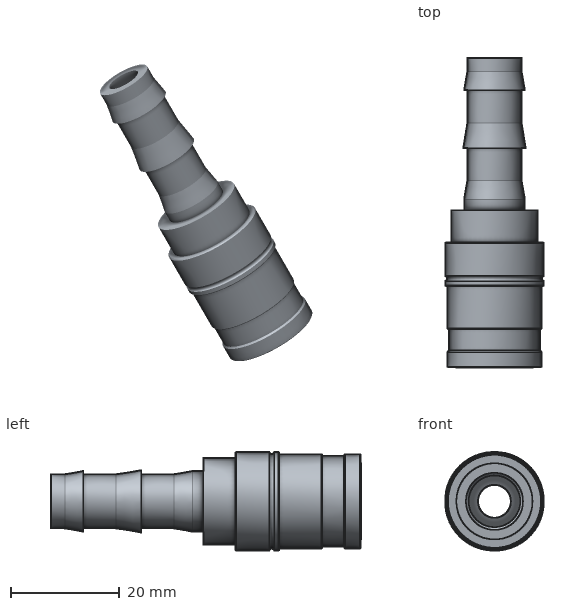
import cadquery as cq

length = 57.0
edge_break = 0.2

end_pad_radius = 7.0
lip_start = 0.08
lip_chamfer = 0.15
lip_radius = 8.7
lip_end = 3.2
lip_step = 0.3
seat_radius = lip_radius - lip_step
sleeve_start = 7.1
sleeve_radius = lip_radius
collar_radius = 9.1
collar_start = 15.0
collar_end = 23.1
shoulder_radius = 8.0
shoulder_end = 29.0

groove_start = 15.95
groove_end = 16.9
groove_middle = (groove_start + groove_end) / 2
groove_depth = 0.37

tail_radius = 5.0
barb_radius = 5.6
middle_barb_radius = 5.75
barb_taper_length = 3.45

root_barb_start = 31.0
root_barb_end = root_barb_start + barb_taper_length

middle_barb_start = 40.4
middle_barb_end = 45.05
tip_barb_start = 51.05
tip_barb_end = tip_barb_start + barb_taper_length
step_barbs = [
    (middle_barb_start, middle_barb_end, middle_barb_radius),
    (tip_barb_start, tip_barb_end, barb_radius),
]

bore_radius = 3.0
socket_radius = 4.75
socket_depth = 20.0
mouth_depth = 0.5
mouth_radius = socket_radius + mouth_depth


def revolve_about_y(outline):
    """Turn a closed outline one full turn about the part's axis."""
    return outline.revolve(360, (0, 0), (0, 1))


def make_body():
    """Revolve the outer outline, drawn as (radius, position along Y)."""
    outline = (
        cq.Workplane("XY")
        .lineTo(end_pad_radius, 0)
        .lineTo(end_pad_radius, lip_start)
        .lineTo(lip_radius - lip_chamfer, lip_start)
        .lineTo(lip_radius, lip_start + lip_chamfer)
        .lineTo(lip_radius, lip_end - lip_step)
        .lineTo(seat_radius, lip_end)
        .lineTo(seat_radius, sleeve_start)
        .lineTo(sleeve_radius - edge_break, sleeve_start)
        .lineTo(sleeve_radius, sleeve_start + edge_break)
        .lineTo(sleeve_radius, collar_start)
        .lineTo(collar_radius - edge_break, collar_start)
        .lineTo(collar_radius, collar_start + edge_break)
        .lineTo(collar_radius, groove_start)
        .threePointArc((collar_radius - groove_depth, groove_middle), (collar_radius, groove_end))
        .lineTo(collar_radius, collar_end - edge_break)
        .lineTo(collar_radius - edge_break, collar_end)
        .lineTo(shoulder_radius, collar_end)
        .lineTo(shoulder_radius, shoulder_end)
        .lineTo(barb_radius, shoulder_end)
        .lineTo(barb_radius, root_barb_start)
        .lineTo(tail_radius, root_barb_end)
    )
    for start, end, crest_radius in step_barbs:
        outline = outline.lineTo(tail_radius, start).lineTo(crest_radius, start).lineTo(tail_radius, end)
    outline = outline.lineTo(tail_radius, length).lineTo(0, length).close()
    return revolve_about_y(outline)


def make_bore():
    """Revolve the hollow: chamfered mouth, socket and through bore."""
    outline = (
        cq.Workplane("XY")
        .lineTo(mouth_radius, 0)
        .lineTo(socket_radius, mouth_depth)
        .lineTo(socket_radius, socket_depth)
        .lineTo(bore_radius, socket_depth)
        .lineTo(bore_radius, length)
        .lineTo(0, length)
        .close()
    )
    return revolve_about_y(outline)


result = make_body().cut(make_bore())